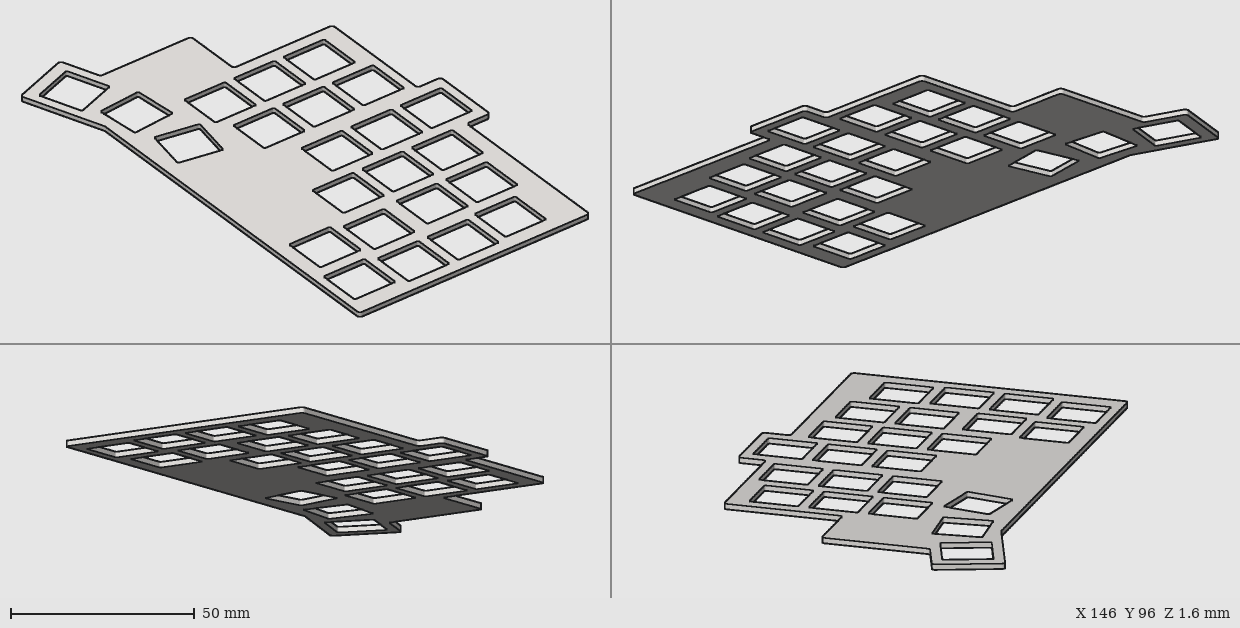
import cadquery as cq
import math

thickness = 1.6
outer_length = 146.04
outer_width = 96.04
corner_radius = 1.0

opening_size = 14.0
opening_corner_radius = 0.5
row_pitch = 17.0
column_pitch = 18.0
middle_column_gap = 20.0

side_margin = 11.0
end_margin = 10.0

right_edge = outer_length / 2
top_edge = outer_width / 2
tab_height = 8.0
shoulder_edge = top_edge - tab_height
shelf_edge = shoulder_edge - 2 * row_pitch
shelf_width = 19.0

lower_row_shift = 1.0
bottom_row_shift = -1.0
column_5_drop = 2.0

column_6_x = right_edge - side_margin - lower_row_shift
column_5_x = column_6_x - column_pitch
column_4_x = column_5_x - column_pitch
column_3_x = column_4_x - column_pitch
column_2_x = column_3_x - middle_column_gap
column_1_x = column_2_x - column_pitch

column_1_stagger = 11.0
column_2_stagger = 8.0
column_4_stagger = 10.0
column_5_stagger = 12.0
column_6_stagger = 16.0

column_3_y = top_edge - end_margin
column_1_y = column_3_y - column_1_stagger
column_2_y = column_3_y - column_2_stagger
column_4_y = column_3_y - column_4_stagger
column_5_y = column_3_y - column_5_stagger
column_6_y = column_3_y - column_6_stagger

short_column_rows = 3
long_column_rows = 4

bottom_edge = column_6_y - (long_column_rows - 1) * row_pitch - end_margin
column_left_edge = column_1_x - side_margin
shelf_left_edge = column_left_edge - shelf_width

arm_tilt = 20.0
arm_cos = math.cos(math.radians(arm_tilt))
arm_sin = math.sin(math.radians(arm_tilt))
arm_corner_reach = corner_radius * (1 - arm_cos - arm_sin)
arm_x = -outer_length / 2 + side_margin * arm_cos + end_margin * arm_sin + arm_corner_reach
arm_y = -outer_width / 2 + side_margin * arm_sin + end_margin * arm_cos + arm_corner_reach

middle_thumb = (-41.0, -28.0, 5.0)
inner_thumb = (-20.4, -25.9, -10.0)


def arm_point(along, across):
    """Convert a position measured from the outer thumb switch into plate coordinates."""
    x = arm_x + along * arm_cos - across * arm_sin
    y = arm_y + along * arm_sin + across * arm_cos
    return (x, y)


def make_plate():
    arm_top_left = arm_point(-side_margin, end_margin)
    arm_bottom_left = arm_point(-side_margin, -end_margin)
    arm_slope = arm_sin / arm_cos
    arm_top_end = (
        shelf_left_edge,
        arm_top_left[1] + (shelf_left_edge - arm_top_left[0]) * arm_slope,
    )
    arm_bottom_end = (
        arm_bottom_left[0] + (bottom_edge - arm_bottom_left[1]) / arm_slope,
        bottom_edge,
    )
    tab_left = column_3_x - side_margin
    tab_right = column_3_x + side_margin
    outline = [
        arm_bottom_left,
        arm_bottom_end,
        (right_edge, bottom_edge),
        (right_edge, shoulder_edge),
        (tab_right, shoulder_edge),
        (tab_right, top_edge),
        (tab_left, top_edge),
        (tab_left, shoulder_edge),
        (column_left_edge, shoulder_edge),
        (column_left_edge, shelf_edge),
        (shelf_left_edge, shelf_edge),
        arm_top_end,
        arm_top_left,
    ]
    plate = cq.Workplane("XY").polyline(outline).close().extrude(thickness)
    return plate.edges("|Z").fillet(corner_radius)


def switch_positions():
    """List every opening as (x, y, tilt in degrees)."""
    positions = []
    short_columns = [
        (column_1_x, column_1_y),
        (column_2_x, column_2_y),
        (column_3_x, column_3_y),
        (column_4_x, column_4_y),
    ]
    for x, top_y in short_columns:
        for row in range(short_column_rows):
            positions.append((x, top_y - row * row_pitch, 0))

    column_5_shifts = [0, 0, lower_row_shift, bottom_row_shift]
    column_5_drops = [0, 0, column_5_drop, column_5_drop]
    for row in range(long_column_rows):
        x = column_5_x + column_5_shifts[row]
        y = column_5_y - row * row_pitch - column_5_drops[row]
        positions.append((x, y, 0))

    column_6_shifts = [0, lower_row_shift, lower_row_shift, bottom_row_shift]
    for row in range(long_column_rows):
        x = column_6_x + column_6_shifts[row]
        positions.append((x, column_6_y - row * row_pitch, 0))

    positions.append((arm_x, arm_y, arm_tilt))
    positions.append(middle_thumb)
    positions.append(inner_thumb)
    return positions


def make_opening(x, y, tilt):
    opening = cq.Workplane("XY").rect(opening_size, opening_size).extrude(thickness)
    opening = opening.edges("|Z").fillet(opening_corner_radius)
    return opening.rotate((0, 0, 0), (0, 0, 1), tilt).translate((x, y, 0))


result = make_plate()
for x, y, tilt in switch_positions():
    result = result.cut(make_opening(x, y, tilt))